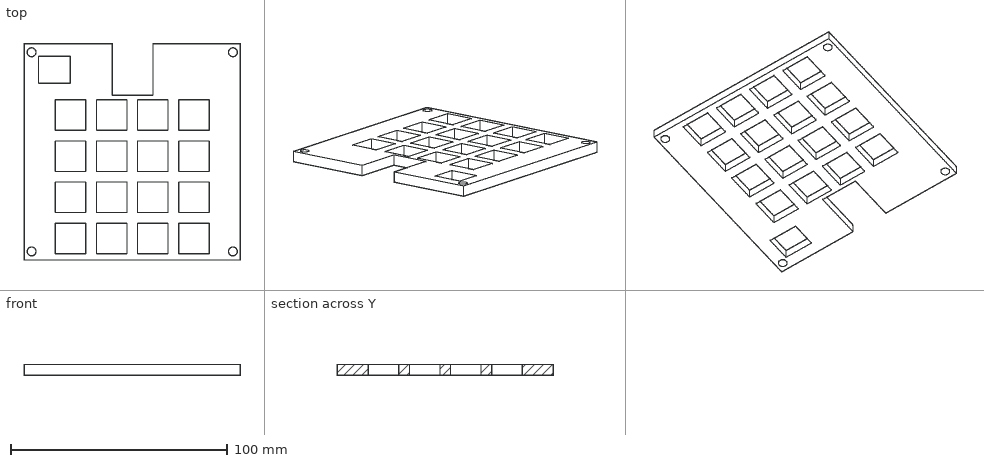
import cadquery as cq

plate_size = 100.0
plate_thickness = 5.0
half_plate = plate_size / 2

keys_per_side = 4
key_opening = 14.0
key_pitch = 19.0
front_margin = 3.0
key_grid_span = (keys_per_side - 1) * key_pitch + key_opening
key_grid_y = -half_plate + front_margin + key_grid_span / 2

screw_hole_diameter = 4.0
screw_inset_x = 3.5
screw_inset_y = 4.0

notch_width = 18.7
notch_depth = 23.8
notch_center_x = 0.2

window_width = 14.5
window_height = 12.4
window_left_margin = 6.8
window_back_margin = 5.9


def box_cutter(width, height, center_x, center_y):
    """Rectangular block that passes through the full plate thickness."""
    return cq.Workplane("XY").center(center_x, center_y).rect(width, height).extrude(plate_thickness)


plate = cq.Workplane("XY").rect(plate_size, plate_size).extrude(plate_thickness)

key_openings = (
    cq.Workplane("XY")
    .center(0, key_grid_y)
    .rarray(key_pitch, key_pitch, keys_per_side, keys_per_side)
    .rect(key_opening, key_opening)
    .extrude(plate_thickness)
)

screw_holes = (
    cq.Workplane("XY")
    .rect(plate_size - 2 * screw_inset_x, plate_size - 2 * screw_inset_y, forConstruction=True)
    .vertices()
    .circle(screw_hole_diameter / 2)
    .extrude(plate_thickness)
)

notch = box_cutter(notch_width, notch_depth, notch_center_x, half_plate - notch_depth / 2)

window = box_cutter(
    window_width,
    window_height,
    -half_plate + window_left_margin + window_width / 2,
    half_plate - window_back_margin - window_height / 2,
)

result = plate.cut(key_openings).cut(screw_holes).cut(notch).cut(window)